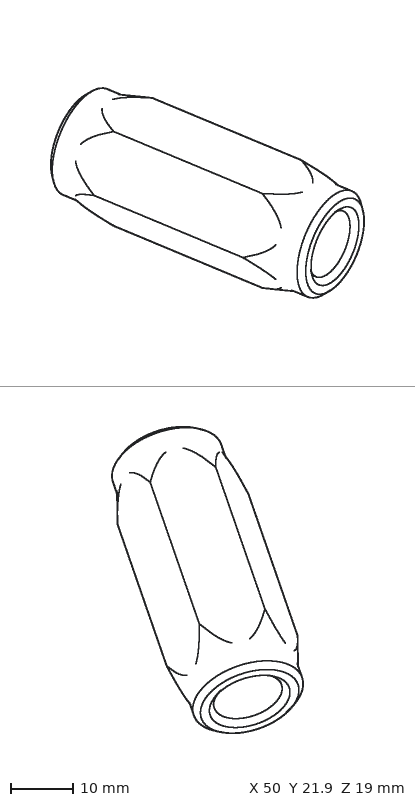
import cadquery as cq
import math

length = 50.0
across_flats = 19.0
across_corners = across_flats / math.cos(math.radians(30))

collar_diameter = 18.5
collar_length = 4.0
collar_chamfer = 1.0
cone_angle = 15.0
cone_overrun = 1.5

bore_diameter = 11.45
bore_mouth_diameter = 13.5
bore_depth = 20.0


def hexagon_bar():
    """Hexagonal bar with flats facing +Z and -Z and corners on Y."""
    return (
        cq.Workplane("YZ")
        .polygon(6, across_corners)
        .extrude(length / 2, both=True)
    )


def turned_envelope():
    """Solid of revolution that trims the bar into collars and cones."""
    half_length = length / 2
    collar_radius = collar_diameter / 2
    corner_radius = across_corners / 2
    cone_length = (corner_radius - collar_radius) / math.tan(math.radians(cone_angle))
    collar_end = half_length - collar_length
    peak_x = collar_end - cone_overrun * cone_length
    peak_radius = collar_radius + cone_overrun * (corner_radius - collar_radius)
    right_side = [
        (peak_x, peak_radius),
        (collar_end, collar_radius),
        (half_length - collar_chamfer, collar_radius),
        (half_length, collar_radius - collar_chamfer),
        (half_length, 0),
    ]
    left_side = [(-x, radius) for x, radius in reversed(right_side)]
    return (
        cq.Workplane("XY")
        .polyline(left_side + right_side)
        .close()
        .revolve(360, (0, 0, 0), (1, 0, 0))
    )


def left_bore():
    """Cutter for the bore in the -X end, with a 45 degree countersink."""
    bore_radius = bore_diameter / 2
    mouth_radius = bore_mouth_diameter / 2
    face_x = -length / 2
    floor_x = face_x + bore_depth
    return (
        cq.Workplane("XY")
        .moveTo(face_x, 0)
        .lineTo(face_x, mouth_radius)
        .lineTo(face_x + mouth_radius - bore_radius, bore_radius)
        .lineTo(floor_x, bore_radius)
        .lineTo(floor_x, 0)
        .close()
        .revolve(360, (0, 0, 0), (1, 0, 0))
    )


bore = left_bore()
result = hexagon_bar().intersect(turned_envelope()).cut(bore).cut(bore.mirror("YZ"))